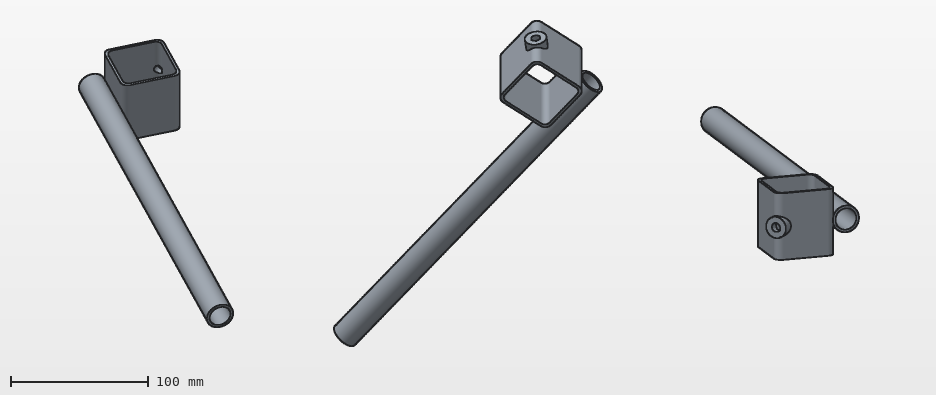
import cadquery as cq
import math

SLEEVE_WIDTH = 45.2
SLEEVE_HEIGHT = 50.0
SLEEVE_WALL = 2.0
SLEEVE_CORNER_RADIUS = 5.5
BORE_CORNER_RADIUS = 4.5

BOSS_DIAMETER = 16.0
BOSS_HOLE_DIAMETER = 6.5
BOSS_OVERHANG = 6.0

OVERALL_LENGTH = 301.3
TUBE_DIAMETER = 20.2
TUBE_WALL = 2.0

HALF_WIDTH = SLEEVE_WIDTH / 2
TUBE_START_X = -HALF_WIDTH + SLEEVE_CORNER_RADIUS
TUBE_END_X = OVERALL_LENGTH - HALF_WIDTH - BOSS_OVERHANG
TUBE_AXIS_Y = -HALF_WIDTH - TUBE_DIAMETER / 2

BOSS_FACE_OFFSET = HALF_WIDTH + BOSS_OVERHANG - BOSS_DIAMETER / 2 * math.cos(math.pi / 4)
BOSS_DEPTH = BOSS_FACE_OFFSET * math.sqrt(2)


def rounded_prism(width, corner_radius):
    """Square prism of the sleeve's height with rounded vertical edges."""
    return cq.Workplane("XY").box(width, width, SLEEVE_HEIGHT).edges("|Z").fillet(corner_radius)


def boss_cylinder(diameter):
    """Cylinder on the boss axis, from the boss face inward to the sleeve axis."""
    face = cq.Plane(
        origin=(-BOSS_FACE_OFFSET, BOSS_FACE_OFFSET, 0),
        xDir=(0, 0, 1),
        normal=(1, -1, 0),
    )
    return cq.Workplane(face).circle(diameter / 2).extrude(BOSS_DEPTH)


def make_sleeve():
    """Square sleeve with the corner boss and its hole through to the bore."""
    bore = rounded_prism(SLEEVE_WIDTH - 2 * SLEEVE_WALL, BORE_CORNER_RADIUS)
    solid = rounded_prism(SLEEVE_WIDTH, SLEEVE_CORNER_RADIUS).union(boss_cylinder(BOSS_DIAMETER))
    return solid.cut(bore).cut(boss_cylinder(BOSS_HOLE_DIAMETER))


def make_tube():
    """Round tube, open at both ends, touching the sleeve along a line."""
    outer_radius = TUBE_DIAMETER / 2
    return (
        cq.Workplane("YZ", origin=(TUBE_START_X, 0, 0))
        .center(TUBE_AXIS_Y, 0)
        .circle(outer_radius)
        .circle(outer_radius - TUBE_WALL)
        .extrude(TUBE_END_X - TUBE_START_X)
    )


sleeve = make_sleeve()
tube = make_tube()
result = cq.Compound.makeCompound([sleeve.val(), tube.val()])